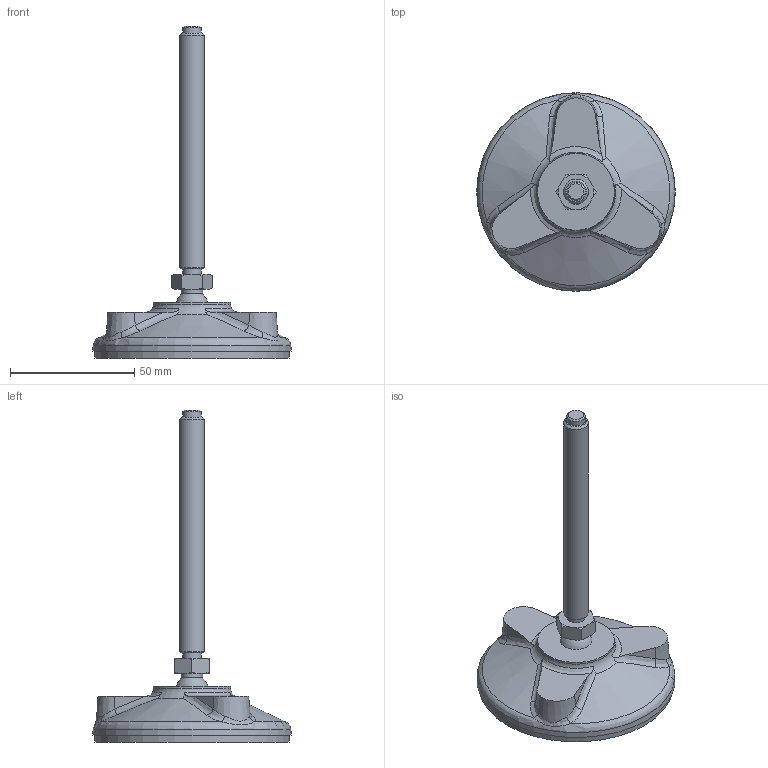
import cadquery as cq
import math

flat_tolerance = 0.001

rim_radius = 40.0
sole_radius = 78.2 / 2
sole_height = 2.8
rim_top_radius = 39.7
shoulder_round = 3.6
cone_angle = 26.0
cone_start_radius = 23.6
cone_start_height = 15.0

collar_top_radius = 15.5
collar_top_height = 22.5
cone_top_radius = 14.5
collar_reach = 18.0
collar_draft = 4.0
collar_root_round = 5.0

foot_count = 3
foot_top_height = 18.5
foot_end_center = 30.05
foot_end_radius = 7.85
foot_side_taper = 8.0
foot_draft = 4.3
foot_root_round = 3.0
foot_collar_round = 2.5
foot_bottom_height = 4.0
foot_inner_reach = 8.0

ball_radius = 13.38 / 2
ball_center_height = 20.5
ball_neck_radius = 4.0
lower_neck_radius = 4.3
hexagon_flats = 14.0
hexagon_bottom = 27.7
hexagon_top = 33.75
hexagon_face_radius = 7.2
hexagon_chamfer_angle = 30.0

upper_neck_radius = 7.5 / 2
rod_radius = 5.0
rod_bottom = 36.3
rod_bottom_chamfer = 0.4
rod_top = 130.9
rod_top_chamfer = 0.85
tip_radius = 7.5 / 2
tip_top = 133.78
tip_chamfer = 0.6


def cone_height(radius):
    """Height of the conical top face at a given radius."""
    slope = math.tan(math.radians(cone_angle))
    return cone_start_height - slope * (radius - cone_start_radius)


def rounded_corner(before, corner, after, radius):
    """Start, middle and end of an arc of the given radius that rounds a profile corner."""
    def unit(target):
        length = math.dist(corner, target)
        return ((target[0] - corner[0]) / length, (target[1] - corner[1]) / length)

    to_before = unit(before)
    to_after = unit(after)
    half_angle = math.acos(to_before[0] * to_after[0] + to_before[1] * to_after[1]) / 2
    setback = radius / math.tan(half_angle)
    middle_reach = radius / math.sin(half_angle) - radius
    bisector = unit((corner[0] + to_before[0] + to_after[0], corner[1] + to_before[1] + to_after[1]))

    def along(direction, distance):
        return (corner[0] + distance * direction[0], corner[1] + distance * direction[1])

    return along(to_before, setback), along(bisector, middle_reach), along(to_after, setback)


def revolve_profile(profile):
    """Full turn about the Z axis with the seam on the -Y side, clear of the feet."""
    return profile.close().revolve(360, (0, 0, 0), (0, 1, 0)).rotate((0, 0, 0), (0, 0, 1), -90)


def make_disc():
    """Base disc with a conical top, cut flat inside the collar, and a rounded shoulder."""
    rim_corner = (rim_radius, sole_height)
    shoulder_corner = (rim_top_radius, cone_height(rim_top_radius))
    cone_end = (cone_top_radius, cone_height(cone_top_radius))
    shoulder = rounded_corner(rim_corner, shoulder_corner, cone_end, shoulder_round)
    profile = (
        cq.Workplane("XZ")
        .lineTo(sole_radius, 0)
        .lineTo(sole_radius, sole_height)
        .lineTo(*rim_corner)
        .lineTo(*shoulder[0])
        .threePointArc(shoulder[1], shoulder[2])
        .lineTo(*cone_end)
        .lineTo(0, cone_end[1])
    )
    return revolve_profile(profile)


def make_foot():
    """Drafted foot pointing along +Y, widening towards the axis."""
    taper = math.radians(foot_side_taper)
    tangent_x = foot_end_radius * math.cos(taper)
    tangent_y = foot_end_center + foot_end_radius * math.sin(taper)
    inner_x = tangent_x + math.tan(taper) * (tangent_y - foot_inner_reach)
    return (
        cq.Workplane("XY", origin=(0, 0, foot_top_height))
        .moveTo(-inner_x, foot_inner_reach)
        .lineTo(-tangent_x, tangent_y)
        .threePointArc((0, foot_end_center + foot_end_radius), (tangent_x, tangent_y))
        .lineTo(inner_x, foot_inner_reach)
        .close()
        .extrude(foot_bottom_height - foot_top_height, taper=-foot_draft)
    )


def is_foot_root(edge):
    """True for the rising curves where the foot walls meet the cone and the shoulder."""
    box = edge.BoundingBox()
    rises = box.zmax - box.zmin > flat_tolerance
    below_top = sole_height < box.zmin and box.zmax < foot_top_height - flat_tolerance
    return rises and below_top and edge.geomType() in ("HYPERBOLA", "BSPLINE")


def make_disc_with_feet():
    """Disc with its feet, blended along the foot roots."""
    body = make_disc()
    for index in range(foot_count):
        body = body.union(make_foot().rotate((0, 0, 0), (0, 0, 1), index * 360 / foot_count))
    roots = [edge for edge in body.edges().vals() if is_foot_root(edge)]
    return body.newObject(roots).fillet(foot_root_round)


def make_collar():
    """Drafted collar that flows into the cone through a round root."""
    draft = math.tan(math.radians(collar_draft))
    slope = math.tan(math.radians(cone_angle))
    collar_flare = draft * (collar_top_height - cone_height(collar_top_radius))
    collar_root_radius = collar_top_radius + collar_flare / (1 - draft * slope)
    cone_corner = (rim_radius, cone_height(rim_radius))
    root_corner = (collar_root_radius, cone_height(collar_root_radius))
    collar_corner = (collar_top_radius, collar_top_height)
    root = rounded_corner(cone_corner, root_corner, collar_corner, collar_root_round)
    profile = (
        cq.Workplane("XZ")
        .lineTo(root[0][0], 0)
        .lineTo(*root[0])
        .threePointArc(root[1], root[2])
        .lineTo(*collar_corner)
        .lineTo(0, collar_top_height)
    )
    return revolve_profile(profile)


def make_base():
    """Disc with all feet and the collar, blended where the feet run into the collar."""
    base = make_disc_with_feet().union(make_collar())
    inside_collar_root = cq.selectors.BoxSelector(
        (-collar_reach, -collar_reach, foot_top_height - flat_tolerance),
        (collar_reach, collar_reach, foot_top_height + flat_tolerance),
        boundingbox=True,
    )
    return base.edges(inside_collar_root).edges("%CIRCLE").fillet(foot_collar_round)


def make_hexagon():
    """Wrench hexagon with corners on the X axis, chamfered conically at both ends."""
    height = hexagon_top - hexagon_bottom
    corner_diameter = hexagon_flats / math.cos(math.pi / 6)
    drop = math.tan(math.radians(hexagon_chamfer_angle)) * (corner_diameter / 2 - hexagon_face_radius)
    prism = cq.Workplane("XY", origin=(0, 0, hexagon_bottom)).polygon(6, corner_diameter).extrude(height)
    envelope = (
        cq.Workplane("XZ")
        .moveTo(0, hexagon_bottom)
        .lineTo(hexagon_face_radius, hexagon_bottom)
        .lineTo(corner_diameter / 2, hexagon_bottom + drop)
        .lineTo(corner_diameter / 2, hexagon_top - drop)
        .lineTo(hexagon_face_radius, hexagon_top)
        .lineTo(0, hexagon_top)
    )
    return prism.intersect(revolve_profile(envelope))


def make_spindle():
    """Ball, necks, plain rod and its tip, turned as one piece."""
    ball_bottom = ball_center_height - ball_radius
    ball_end_height = ball_center_height + math.sqrt(ball_radius**2 - ball_neck_radius**2)
    neck_flare = lower_neck_radius - ball_neck_radius
    profile = (
        cq.Workplane("XZ")
        .moveTo(0, ball_bottom)
        .threePointArc((ball_radius, ball_center_height), (ball_neck_radius, ball_end_height))
        .lineTo(lower_neck_radius, ball_end_height + neck_flare)
        .lineTo(lower_neck_radius, hexagon_top)
        .lineTo(upper_neck_radius, hexagon_top)
        .lineTo(upper_neck_radius, rod_bottom - rod_bottom_chamfer)
        .lineTo(rod_radius - rod_bottom_chamfer, rod_bottom - rod_bottom_chamfer)
        .lineTo(rod_radius, rod_bottom)
        .lineTo(rod_radius, rod_top - rod_top_chamfer)
        .lineTo(rod_radius - rod_top_chamfer, rod_top)
        .lineTo(tip_radius, rod_top)
        .lineTo(tip_radius, tip_top - tip_chamfer)
        .lineTo(tip_radius - tip_chamfer, tip_top)
        .lineTo(0, tip_top)
    )
    return revolve_profile(profile)


result = make_base().union(make_spindle()).union(make_hexagon())